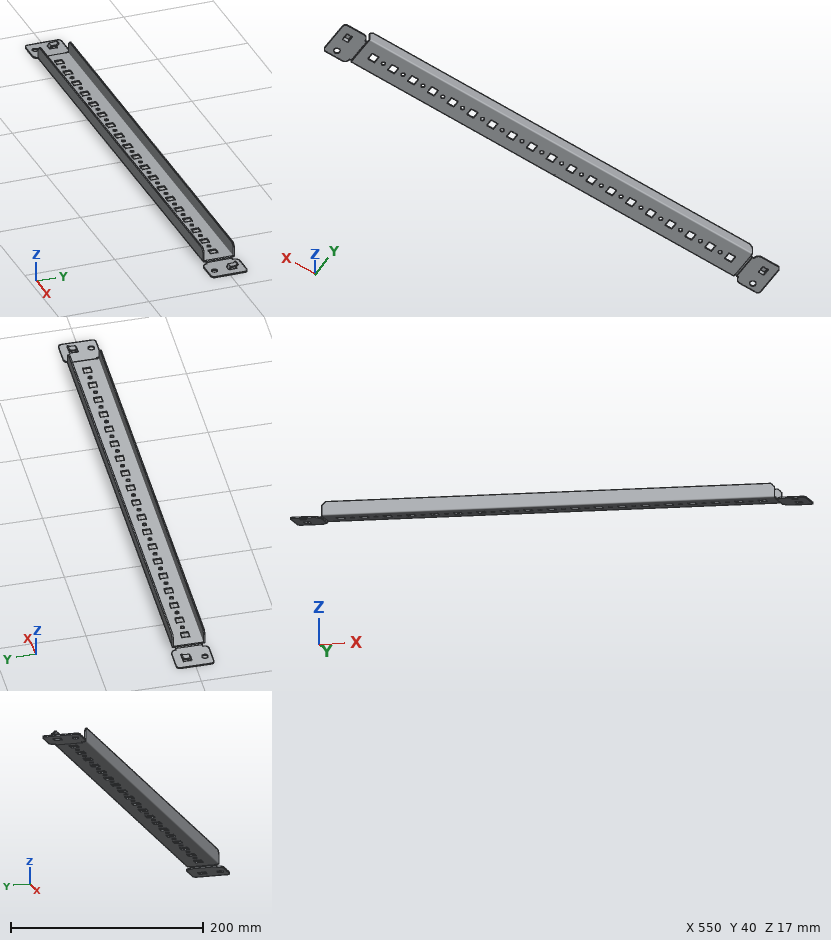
import cadquery as cq
import math

LENGTH = 550.0
TAB_WIDTH = 40.0
HEIGHT = 17.0
SHEET = 1.5

CHANNEL_INSET = 33.5
CHANNEL_WIDTH = 35.0
STEP = 1.9
BEND_RADIUS = 1.55
FLANGE_CHAMFER = 4.0

TAB_LENGTH = 29.5
TAB_OUTER_RADIUS = 4.0
TAB_INNER_RADIUS = 5.5
NECK_WIDTH = 28.5
STEP_RUN = 1.5
NECK_OVERLAP = 3.0

PITCH = LENGTH / 22
SQUARE_COUNT = 19
SQUARE_SIDE = 8.0
ROUND_DIAMETER = 4.1

FIXING_INSET = 12.5
FIXING_OFFSET = 12.5
FIXING_DIAMETER = 6.5
HOOK_WIDTH = 6.5
HOOK_ROOT = 3.0
HOOK_SLOT_END = 11.0
HOOK_TIP = 12.5
HOOK_RISE = 3.5
HOOK_RAMP_ANGLE = 60.0
HOOK_CURL_RADIUS = 3.5
HOOK_CURL_ANGLE = 60.0

CUT_DEPTH = 4 * HEIGHT
CHANNEL_LENGTH = LENGTH - 2 * CHANNEL_INSET


def make_channel():
    """U-channel with rounded bends and clipped upper flange corners."""
    wall_height = HEIGHT - STEP
    outer = (
        cq.Workplane("XY")
        .box(CHANNEL_LENGTH, CHANNEL_WIDTH, wall_height, centered=(True, True, False))
        .edges("|X and <Z")
        .fillet(BEND_RADIUS)
    )
    inner = (
        cq.Workplane("XY")
        .box(CHANNEL_LENGTH, CHANNEL_WIDTH - 2 * SHEET, wall_height, centered=(True, True, False))
        .edges("|X and <Z")
        .fillet(BEND_RADIUS - SHEET)
        .translate((0, 0, SHEET))
    )
    channel = outer.cut(inner)
    channel = channel.edges("|Y and >Z").chamfer(FLANGE_CHAMFER)
    return channel.translate((0, 0, STEP))


def make_tab():
    """Tab at the -X end, with the sloping neck up to the channel floor."""
    start = -LENGTH / 2
    plate = (
        cq.Workplane("XY")
        .box(TAB_LENGTH, TAB_WIDTH, SHEET, centered=(False, True, False))
        .edges("|Z and <X")
        .fillet(TAB_OUTER_RADIUS)
        .edges("|Z and >X")
        .fillet(TAB_INNER_RADIUS)
        .translate((start, 0, 0))
    )
    channel_end = start + CHANNEL_INSET
    slope_start = channel_end - STEP_RUN
    neck_start = start + TAB_LENGTH - TAB_INNER_RADIUS
    neck_end = channel_end + NECK_OVERLAP
    neck = (
        cq.Workplane("XZ")
        .polyline([
            (neck_start, 0),
            (slope_start, 0),
            (channel_end, STEP),
            (neck_end, STEP),
            (neck_end, STEP + SHEET),
            (channel_end, STEP + SHEET),
            (slope_start, SHEET),
            (neck_start, SHEET),
        ])
        .close()
        .extrude(NECK_WIDTH / 2, both=True)
    )
    return plate.union(neck)


def make_hook():
    """Sheet tongue rising toward +Y, flat in the middle and curled up at its tip."""
    ramp = math.radians(HOOK_RAMP_ANGLE)
    curl = math.radians(HOOK_CURL_ANGLE)
    inner_radius = HOOK_CURL_RADIUS
    outer_radius = HOOK_CURL_RADIUS + SHEET
    flat_start = HOOK_ROOT + HOOK_RISE / math.tan(ramp)
    curl_start = HOOK_TIP - outer_radius * math.sin(curl)
    curl_center_z = HOOK_RISE + outer_radius
    miter = SHEET * math.tan(ramp / 2)

    def curl_point(radius, angle):
        return (curl_start + radius * math.sin(angle), curl_center_z - radius * math.cos(angle))

    return (
        cq.Workplane("YZ")
        .moveTo(HOOK_ROOT - miter, 0)
        .lineTo(HOOK_ROOT, 0)
        .lineTo(flat_start, HOOK_RISE)
        .lineTo(*curl_point(outer_radius, 0))
        .threePointArc(curl_point(outer_radius, curl / 2), curl_point(outer_radius, curl))
        .lineTo(*curl_point(inner_radius, curl))
        .threePointArc(curl_point(inner_radius, curl / 2), curl_point(inner_radius, 0))
        .lineTo(flat_start - miter, HOOK_RISE + SHEET)
        .lineTo(HOOK_ROOT - miter, SHEET)
        .close()
        .extrude(HOOK_WIDTH / 2, both=True)
        .translate((-LENGTH / 2 + FIXING_INSET, 0, 0))
    )


def make_end():
    """Complete -X end: tab with screw hole, slot and hook."""
    fixing_x = -LENGTH / 2 + FIXING_INSET
    slot_length = HOOK_SLOT_END - HOOK_ROOT
    screw_hole = (
        cq.Workplane("XY")
        .center(fixing_x, -FIXING_OFFSET)
        .circle(FIXING_DIAMETER / 2)
        .extrude(CUT_DEPTH, both=True)
    )
    slot = (
        cq.Workplane("XY")
        .center(fixing_x, HOOK_ROOT + slot_length / 2)
        .rect(HOOK_WIDTH, slot_length)
        .extrude(CUT_DEPTH, both=True)
    )
    return make_tab().cut(screw_hole).cut(slot).union(make_hook())


def make_hole_row():
    """Cutters for the square holes and the round holes midway between them."""
    squares = (
        cq.Workplane("XY")
        .rarray(PITCH, 5.5, SQUARE_COUNT, 1)
        .rect(SQUARE_SIDE, SQUARE_SIDE)
        .extrude(CUT_DEPTH, both=True)
    )
    rounds = (
        cq.Workplane("XY")
        .rarray(PITCH, 5.5, SQUARE_COUNT - 1, 1)
        .circle(ROUND_DIAMETER / 2)
        .extrude(CUT_DEPTH, both=True)
    )
    return squares.union(rounds)


end = make_end()
result = make_channel().union(end).union(end.mirror("YZ")).cut(make_hole_row())